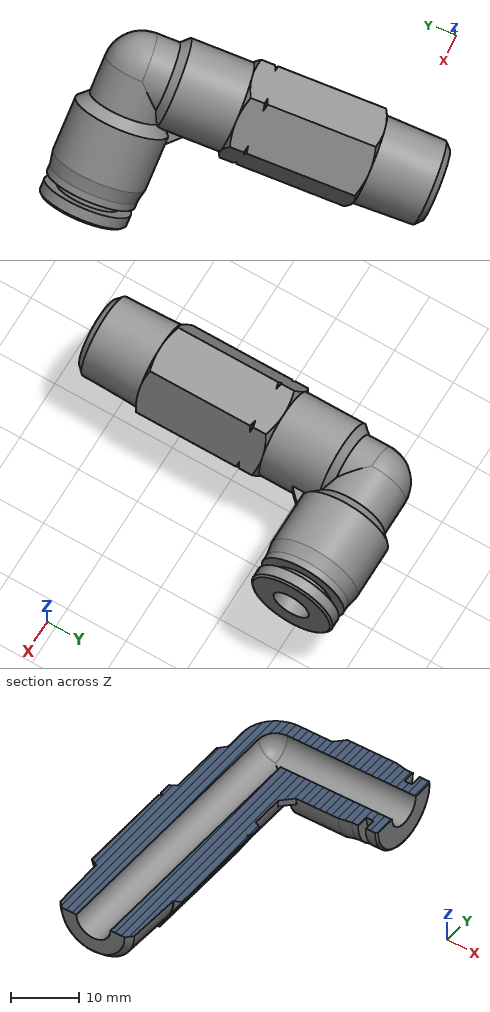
import cadquery as cq
import math

overall_length = 53.9
collar_diameter = 14.8
collar_radius = collar_diameter / 2
elbow_radius = 5.8
bore_radius = 3.0

stem_radius = 7.0
shoulder_start = 3.7
shoulder_end = 5.0
hex_start = 14.95
hex_end = 35.95
stem_end = overall_length - collar_radius

hex_flats = 14.0
hex_corner_radius = hex_flats / math.sqrt(3)
hex_chamfer_angle = 30.0
groove_position = 18.0
groove_half_width = 0.25
groove_radius = 7.6

thread_root_radius = 6.9
thread_tip_radius = 6.65
thread_chamfer = 1.0

collar_cone_start = 6.05
collar_cone_end = 7.65
collar_taper_start = 16.4
collar_taper_end = 18.5
collar_end = 19.7
collar_tip_radius = 7.0
neck_radius = 4.9
release_start = 20.9
release_radius = 6.9
release_chamfer = 0.3
port_end = 22.95

web_thickness = 2.2
web_leg = 2.0
web_corner_y = -7.3


def elbow(radius, stem_length, port_length):
    """Two equal cylinders meeting at right angles, with a ball at the corner."""
    stem = cq.Workplane("XZ").circle(radius).extrude(stem_length)
    port = cq.Workplane("YZ").circle(radius).extrude(port_length)
    ball = cq.Workplane("XY").sphere(radius)
    return stem.union(port).union(ball)


def turned_about_y(profile):
    """Revolve (radius, distance along -Y) points about the stem axis."""
    points = [(radius, -distance) for radius, distance in profile]
    return cq.Workplane("XY").polyline(points).close().revolve(360, (0, 0), (0, 1))


def make_stem():
    return turned_about_y([
        (0, shoulder_start),
        (elbow_radius, shoulder_start),
        (stem_radius, shoulder_end),
        (stem_radius, hex_start),
        (0, hex_start),
    ])


def make_hex():
    prism = (
        cq.Workplane("XZ", origin=(0, -hex_start, 0))
        .polygon(6, 2 * hex_corner_radius)
        .extrude(hex_end - hex_start)
    )
    flat_radius = hex_flats / 2
    chamfer_length = (hex_corner_radius - flat_radius) * math.tan(math.radians(hex_chamfer_angle))
    envelope = turned_about_y([
        (0, hex_start),
        (flat_radius, hex_start),
        (hex_corner_radius, hex_start + chamfer_length),
        (hex_corner_radius, groove_position - groove_half_width),
        (groove_radius, groove_position),
        (hex_corner_radius, groove_position + groove_half_width),
        (hex_corner_radius, hex_end - chamfer_length),
        (flat_radius, hex_end),
        (0, hex_end),
    ])
    return prism.intersect(envelope)


def make_thread():
    return turned_about_y([
        (0, hex_end),
        (thread_root_radius, hex_end),
        (thread_tip_radius, stem_end - thread_chamfer),
        (thread_tip_radius - thread_chamfer, stem_end),
        (0, stem_end),
    ])


def make_port():
    profile = [
        (collar_cone_start, 0),
        (collar_cone_start, elbow_radius),
        (collar_cone_end, collar_radius),
        (collar_taper_start, collar_radius),
        (collar_taper_end, collar_tip_radius),
        (collar_end, collar_tip_radius),
        (collar_end, neck_radius),
        (release_start, neck_radius),
        (release_start, release_radius),
        (port_end - release_chamfer, release_radius),
        (port_end, release_radius - release_chamfer),
        (port_end, 0),
    ]
    return cq.Workplane("XY").polyline(profile).close().revolve(360, (0, 0), (1, 0))


def make_web():
    outline = [
        (stem_radius, web_corner_y - web_leg),
        (stem_radius + web_leg, web_corner_y),
        (stem_radius + web_leg, -elbow_radius),
        (elbow_radius, -elbow_radius),
        (elbow_radius, web_corner_y - web_leg),
    ]
    return cq.Workplane("XY").polyline(outline).close().extrude(web_thickness / 2, both=True)


body = elbow(elbow_radius, shoulder_end, collar_cone_end)
for section in (make_stem(), make_hex(), make_thread(), make_port(), make_web()):
    body = body.union(section)

result = body.cut(elbow(bore_radius, stem_end, port_end))